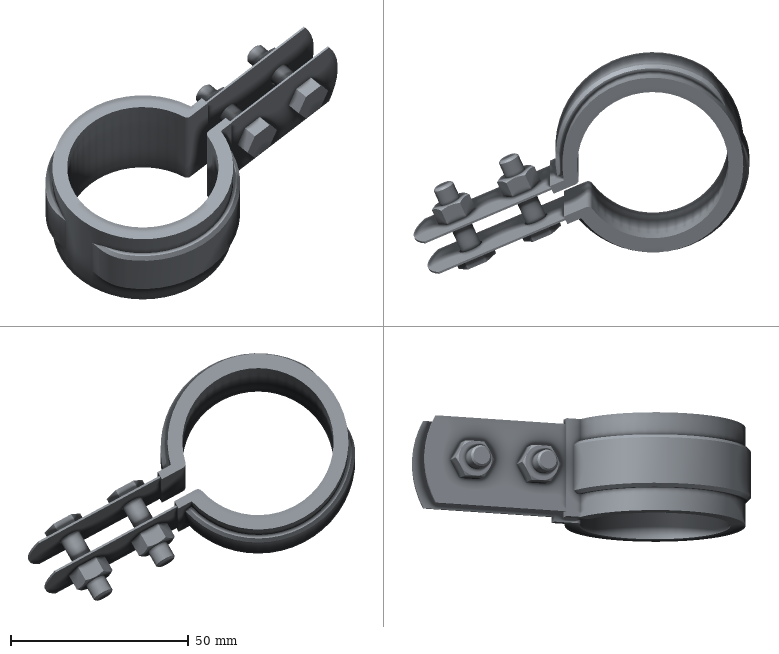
import cadquery as cq
import math


LINER_HEIGHT = 28.0
RING_OUTER_RADIUS = 25.45
RING_INNER_RADIUS = 21.3
LUG_GAP = 7.3
LUG_THICKNESS = 2.4
LUG_END_Y = 28.9
LUG_CORNER_RADIUS = 1.45

BELT_DIAMETER = 54.9
BELT_HEIGHT = 15.0
BELT_CHAMFER = 1.0
BELT_FLAT_Y = -24.9
BELT_BLEND_RADIUS = 13.6

BAND_THICKNESS = 0.6
BAND_WIDTH = 25.0
TOTAL_LENGTH = 96.8
BAND_TIP_RADIUS = 25.0
BOLT_HOLE_DIAMETER = 7.0

SHANK_DIAMETER = 6.0
SHANK_TIP_DIAMETER = 4.9
SHANK_END_X = -15.1
HEX_SIDES = 6
HEX_ACROSS_FLATS = 10.0
HEAD_THICKNESS = 4.0
NUT_THICKNESS = 4.9
NUT_CHAMFER_ANGLE = 30
FIRST_BOLT_Y = 37.9
BOLT_SPACING = 20.0

BELT_RADIUS = BELT_DIAMETER / 2
BAND_TIP_Y = TOTAL_LENGTH - RING_OUTER_RADIUS
LUG_INNER_X = LUG_GAP / 2
LUG_OUTER_X = LUG_INNER_X + LUG_THICKNESS
TAB_CENTER_X = LUG_INNER_X + LUG_THICKNESS / 2
TAB_INNER_X = TAB_CENTER_X - BAND_THICKNESS / 2
TAB_OUTER_X = TAB_CENTER_X + BAND_THICKNESS / 2
BAND_CENTER_RADIUS = (RING_INNER_RADIUS + RING_OUTER_RADIUS) / 2
BAND_INNER_RADIUS = BAND_CENTER_RADIUS - BAND_THICKNESS / 2
BAND_OUTER_RADIUS = BAND_CENTER_RADIUS + BAND_THICKNESS / 2
HEX_ACROSS_CORNERS = HEX_ACROSS_FLATS / math.cos(math.pi / HEX_SIDES)
BOLT_YS = [FIRST_BOLT_Y, FIRST_BOLT_Y + BOLT_SPACING]


def height_on_circle(radius, x):
    """Positive Y of the point at x on a circle around the origin."""
    return math.sqrt(radius**2 - x**2)


def centered_box(x_min, x_max, y_min, y_max, height):
    """Box between the given X and Y limits, centred on Z = 0."""
    box = cq.Workplane("XY").box(x_max - x_min, y_max - y_min, height)
    return box.translate(((x_min + x_max) / 2, (y_min + y_max) / 2, 0))


def cylinder(radius, height):
    """Cylinder around Z, centred on Z = 0."""
    return cq.Workplane("XY").circle(radius).extrude(height / 2, both=True)


def split_ring(inner_radius, outer_radius, leg_inner_x, leg_outer_x, leg_end_y, height):
    """Ring open at +Y, with a straight leg on each side of the opening."""
    ring = cylinder(outer_radius, height)
    leg_start_y = height_on_circle(inner_radius, leg_outer_x)
    for x_min, x_max in ((-leg_outer_x, -leg_inner_x), (leg_inner_x, leg_outer_x)):
        ring = ring.union(centered_box(x_min, x_max, leg_start_y, leg_end_y, height))
    opening = centered_box(-leg_inner_x, leg_inner_x, 0, leg_end_y, height)
    return ring.cut(opening).cut(cylinder(inner_radius, height))


def make_belt():
    """Chamfered disc, flattened at -Y, with blends that lead from the flat into the round."""
    blend_y = BELT_FLAT_Y + BELT_BLEND_RADIUS
    blend_center_distance = BELT_RADIUS - BELT_BLEND_RADIUS
    blend_x = height_on_circle(blend_center_distance, blend_y)
    tangent_x = blend_x * BELT_RADIUS / blend_center_distance
    tangent_y = blend_y * BELT_RADIUS / blend_center_distance
    mid_angle = (math.atan2(blend_y, blend_x) - math.pi / 2) / 2
    mid_x = blend_x + BELT_BLEND_RADIUS * math.cos(mid_angle)
    mid_y = blend_y + BELT_BLEND_RADIUS * math.sin(mid_angle)
    return (
        cq.Workplane("XY")
        .moveTo(-blend_x, BELT_FLAT_Y)
        .lineTo(blend_x, BELT_FLAT_Y)
        .threePointArc((mid_x, mid_y), (tangent_x, tangent_y))
        .threePointArc((0, BELT_RADIUS), (-tangent_x, tangent_y))
        .threePointArc((-mid_x, mid_y), (-blend_x, BELT_FLAT_Y))
        .close()
        .extrude(BELT_HEIGHT / 2, both=True)
        .faces("|Z")
        .chamfer(BELT_CHAMFER)
    )


def make_band():
    """Bent strip whose two tabs have round ends and bolt holes."""
    band = split_ring(
        BAND_INNER_RADIUS, BAND_OUTER_RADIUS, TAB_INNER_X, TAB_OUTER_X, BAND_TIP_Y, BAND_WIDTH
    )
    tip_corner_y = BAND_TIP_Y - BAND_TIP_RADIUS + height_on_circle(BAND_TIP_RADIUS, BAND_WIDTH / 2)
    side_outline = (
        cq.Workplane("YZ")
        .moveTo(-RING_OUTER_RADIUS, -BAND_WIDTH / 2)
        .lineTo(tip_corner_y, -BAND_WIDTH / 2)
        .threePointArc((BAND_TIP_Y, 0), (tip_corner_y, BAND_WIDTH / 2))
        .lineTo(-RING_OUTER_RADIUS, BAND_WIDTH / 2)
        .close()
        .extrude(RING_OUTER_RADIUS, both=True)
    )
    bolt_holes = (
        cq.Workplane("YZ")
        .pushPoints([(y, 0) for y in BOLT_YS])
        .circle(BOLT_HOLE_DIAMETER / 2)
        .extrude(LUG_OUTER_X, both=True)
    )
    return band.intersect(side_outline).cut(bolt_holes)


def make_liner(band):
    """Split ring with lugs and belt, hollowed to hold the band."""
    liner = split_ring(
        RING_INNER_RADIUS, RING_OUTER_RADIUS, LUG_INNER_X, LUG_OUTER_X, LUG_END_Y, LINER_HEIGHT
    )
    corner_y = height_on_circle(RING_INNER_RADIUS, LUG_INNER_X)
    for x in (-LUG_INNER_X, LUG_INNER_X):
        corner_edge = cq.selectors.NearestToPointSelector((x, corner_y, 0))
        liner = liner.edges("|Z").edges(corner_edge).fillet(LUG_CORNER_RADIUS)
    lug_space = centered_box(-LUG_OUTER_X, LUG_OUTER_X, 0, LUG_END_Y, BELT_HEIGHT)
    belt = make_belt().cut(cylinder(BAND_CENTER_RADIUS, BELT_HEIGHT)).cut(lug_space)
    return liner.union(belt).cut(band)


def make_bolt(y):
    """Hexagon bolt along X with its head on the +X tab and a chamfered tip."""
    head = (
        cq.Workplane("YZ", origin=(TAB_OUTER_X, y, 0))
        .polygon(HEX_SIDES, HEX_ACROSS_CORNERS)
        .extrude(HEAD_THICKNESS)
    )
    shank = (
        cq.Workplane("YZ", origin=(SHANK_END_X, y, 0))
        .circle(SHANK_DIAMETER / 2)
        .extrude(TAB_OUTER_X - SHANK_END_X)
        .faces("<X")
        .chamfer((SHANK_DIAMETER - SHANK_TIP_DIAMETER) / 2)
    )
    return head.union(shank)


def make_nut(y):
    """Hexagon nut on the -X tab with the corners of its outer face chamfered."""
    corner_radius = HEX_ACROSS_CORNERS / 2
    face_radius = HEX_ACROSS_FLATS / 2
    chamfer_depth = (corner_radius - face_radius) * math.tan(math.radians(NUT_CHAMFER_ANGLE))
    nut = (
        cq.Workplane("YZ")
        .polygon(HEX_SIDES, HEX_ACROSS_CORNERS)
        .circle(SHANK_DIAMETER / 2)
        .extrude(-NUT_THICKNESS)
    )
    envelope = (
        cq.Workplane("XY")
        .polyline([
            (0, 0),
            (0, corner_radius),
            (chamfer_depth - NUT_THICKNESS, corner_radius),
            (-NUT_THICKNESS, face_radius),
            (-NUT_THICKNESS, 0),
        ])
        .close()
        .revolve(360, (0, 0, 0), (1, 0, 0))
    )
    return nut.intersect(envelope).translate((-TAB_OUTER_X, y, 0))


band = make_band()
liner = make_liner(band)
bolts = [make_bolt(y) for y in BOLT_YS]
nuts = [make_nut(y) for y in BOLT_YS]

result = cq.Compound.makeCompound([
    liner.val(),
    band.val(),
    *[bolt.val() for bolt in bolts],
    *[nut.val() for nut in nuts],
])